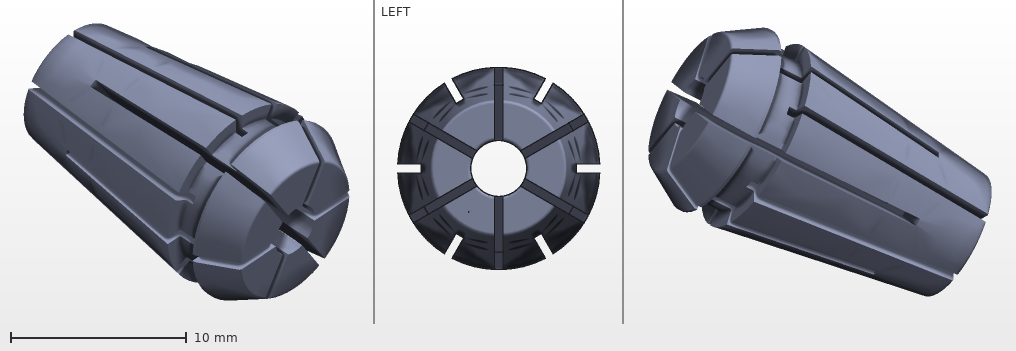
import cadquery as cq
import math

length = 18.0
largest_radius = 11.5 / 2
bore_radius = 3.17 / 2

body_length = 13.5
body_half_angle = 8.0
nose_radius = largest_radius - body_length * math.tan(math.radians(body_half_angle))

neck_radius = 4.75
neck_fillet = 0.09

head_start = 15.5
head_land = 0.18
head_bevel_angle = 30.0
bevel_start = head_start + head_land
head_end_radius = largest_radius - (length - bevel_start) * math.tan(math.radians(head_bevel_angle))

edge_round = 0.2

slot_width = 0.5
slots_per_end = 6
slot_pitch = 360.0 / slots_per_end
nose_slot_end = 14.0
head_slot_start = length - nose_slot_end


def make_body():
    """Revolve the outer profile about the X axis and bore it through."""
    profile = (
        cq.Workplane("XY")
        .moveTo(0, 0)
        .lineTo(0, nose_radius)
        .lineTo(body_length, largest_radius)
        .lineTo(body_length, neck_radius)
        .lineTo(head_start, neck_radius)
        .lineTo(head_start, largest_radius)
        .lineTo(bevel_start, largest_radius)
        .lineTo(length, head_end_radius)
        .lineTo(length, 0)
        .close()
    )
    body = profile.revolve(360, (0, 0, 0), (1, 0, 0))
    return body.cut(cq.Workplane("YZ").circle(bore_radius).extrude(length))


def circle_edge(x, radius):
    """Selector for the circular edge of the given radius at position x."""
    margin = 0.02
    reach = radius + margin
    return cq.selectors.BoxSelector(
        (x - margin, -reach, -reach), (x + margin, reach, reach), boundingbox=True
    ) - cq.selectors.BoxSelector(
        (x - margin, -radius + margin, -radius + margin),
        (x + margin, radius - margin, radius - margin),
        boundingbox=True,
    )


def round_edges(body):
    """Round the neck corners, both nose edges and the outer edge of the head."""
    for x in (body_length, head_start):
        body = body.edges(circle_edge(x, neck_radius)).fillet(neck_fillet)
    for x, radius in ((0, nose_radius), (0, bore_radius), (length, head_end_radius)):
        body = body.edges(circle_edge(x, radius)).fillet(edge_round)
    return body


def slot_cutters(start, end, first_angle):
    """Evenly spaced radial slots, each running from the axis out past the rim."""
    reach = 2 * largest_radius
    slot = cq.Workplane("XY").box(end - start, reach, slot_width, centered=(False, False, True))
    slot = slot.translate((start, 0, 0))
    cutters = cq.Workplane("XY")
    for i in range(slots_per_end):
        angle = first_angle + i * slot_pitch
        cutters = cutters.add(slot.rotate((0, 0, 0), (1, 0, 0), angle))
    return cutters.combine()


result = round_edges(make_body())
result = result.cut(slot_cutters(0, nose_slot_end, slot_pitch / 2))
result = result.cut(slot_cutters(head_slot_start, length, 0))